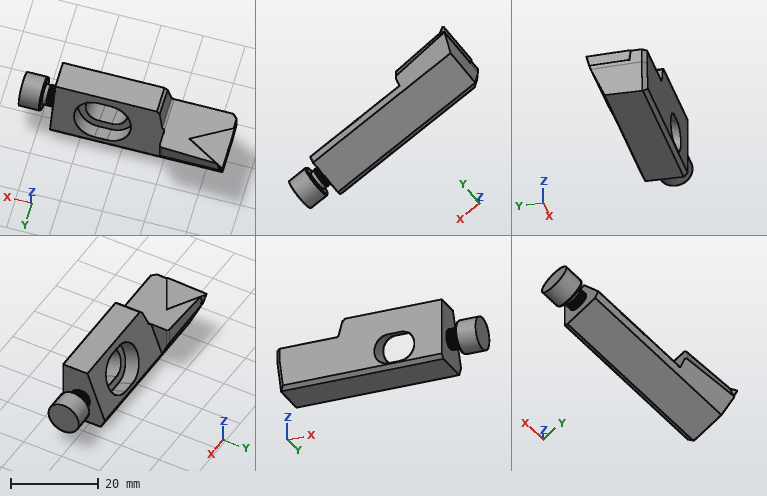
import cadquery as cq
import math


total_length = 50.0
block_end = 41.9
block_height = 14.9
foot_width = 9.95
waist_width = 11.0
waist_height = 2.3
back_tilt = 20.0
foot_chamfer = 0.95

head_end = 15.45
head_back_front = 13.3
head_back_rear = 12.6
head_corner_radius = 0.5

land_height = 10.55
land_tilt = 2.0
wall_lean = 15.0
wall_fillet = 0.6
wall_foot = 15.95
wall_top_chamfer_width = 0.6
wall_top_chamfer_height = 0.65

clearance_angle = 7.0
insert_thickness = 2.35
insert_side = 10.75
insert_center_y = 8.8
insert_corner_radius = 0.2

nose_x = insert_thickness * math.tan(math.radians(clearance_angle))
nose_land = 3.3
nose_chamfer = 1.05

slot_x = 30.0
slot_front_height = 4.95
slot_diameter = 7.0
slot_travel = 3.0
recess_diameter = 10.5
recess_depth = 3.8

screw_y = 4.75
screw_z = 6.65
head_diameter = 8.0
head_start = 44.9
head_edge_width = 0.3
head_edge_drop = 0.15
thread_diameter = 5.0
thread_depth = 0.2
thread_pitch = 0.5
thread_turns = 4
neck_diameter = 4.8

chamfer_overrun = 0.5
margin = 5.0

tan_back = math.tan(math.radians(back_tilt))
tan_clearance = math.tan(math.radians(clearance_angle))
crest_y = waist_width - (block_height - waist_height) * tan_back


def tilt_to_land(shape):
    """Move a shape from the land's own frame (land on z = 0) to its place on the holder."""
    return shape.rotate((0, 0, 0), (1, 0, 0), -land_tilt).translate((0, 0, land_height))


def make_block():
    profile = [
        (0, 0), (foot_width, 0), (waist_width, waist_height), (crest_y, block_height), (0, block_height)
    ]
    length = block_end - head_end
    return cq.Workplane("YZ").workplane(offset=head_end).polyline(profile).close().extrude(length)


def make_head():
    """Tapered plan outline, trimmed underneath by the same inclined face as the block."""
    plan = [(nose_x, 0), (head_end, 0), (head_end, head_back_rear), (nose_x, head_back_front)]
    blank = cq.Workplane("XY").polyline(plan).close().extrude(block_height)
    blank = blank.edges("|Z").edges(">X").edges(">Y").fillet(head_corner_radius)
    flare = (waist_width - foot_width) / waist_height
    section = [(0, 0), (foot_width, 0), (foot_width + flare * block_height, block_height), (0, block_height)]
    return blank.intersect(cq.Workplane("YZ").polyline(section).close().extrude(head_end))


def land_cutter():
    rise = block_height - land_height + margin
    wall_top = wall_foot + rise * math.tan(math.radians(wall_lean))
    profile = [(-margin, 0), (wall_foot, 0), (wall_top, rise), (-margin, rise)]
    cutter = cq.Workplane("XZ").polyline(profile).close().extrude(-4 * margin).translate((0, -margin / 2, 0))
    cutter = cutter.edges(cq.selectors.NearestToPointSelector((wall_foot, margin, 0))).fillet(wall_fillet)
    return tilt_to_land(cutter)


def wall_chamfer_cutter():
    wall_top = wall_foot + (block_height - land_height) * math.tan(math.radians(wall_lean))
    right = wall_top + wall_top_chamfer_width
    slope = wall_top_chamfer_width / wall_top_chamfer_height + math.tan(math.radians(wall_lean))
    drop = 2 * wall_top_chamfer_height
    left = right - slope * drop
    profile = [(right, block_height), (left, block_height - drop), (left, block_height)]
    return cq.Workplane("XZ").polyline(profile).close().extrude(-waist_width)


def nose_relief_cutter():
    depth = land_height + margin
    profile = [(nose_x, -nose_land), (nose_x + (depth - nose_land) * tan_clearance, -depth), (nose_x, -depth)]
    cutter = cq.Workplane("XZ").polyline(profile).close().extrude(-4 * margin).translate((0, -margin / 2, 0))
    return tilt_to_land(cutter)


def nose_chamfer_cutter():
    """Corner chamfer that stands upright below the land and then follows the relieved nose."""
    kink_height = land_height - nose_land
    foot_shift = kink_height * tan_clearance
    left = nose_x - chamfer_overrun
    leg = nose_chamfer + 2 * chamfer_overrun
    corner = [
        (left, -chamfer_overrun), (left + leg, -chamfer_overrun), (left, leg - chamfer_overrun)
    ]
    foot_corner = [(x + foot_shift, y) for x, y in corner]
    upper = cq.Workplane("XY").workplane(offset=kink_height).polyline(corner).close().extrude(nose_land)
    lower = (
        cq.Workplane("XY").polyline(foot_corner).close()
        .workplane(offset=kink_height).polyline(corner).close().loft(ruled=True)
    )
    return upper.union(lower)


def foot_chamfer_cutter():
    profile = [(0, 0), (foot_chamfer, 0), (0, foot_chamfer)]
    return cq.Workplane("YZ").polyline(profile).close().extrude(block_end)


def slot_cutter():
    """Through slot with a wider recess sunk from the inclined back face."""
    tilt = math.radians(back_tilt)
    axis = cq.Vector(0, math.cos(tilt), math.sin(tilt))
    front = cq.Vector(slot_x, 0, slot_front_height)
    back_distance = (cq.Vector(slot_x, crest_y, block_height) - front).dot(axis)
    plane = cq.Plane(origin=front.toTuple(), xDir=(1, 0, 0), normal=axis.toTuple())
    through = (
        cq.Workplane(plane).workplane(offset=-margin)
        .slot2D(slot_travel + slot_diameter, slot_diameter).extrude(back_distance + 2 * margin)
    )
    recess = (
        cq.Workplane(plane).workplane(offset=back_distance - recess_depth)
        .slot2D(slot_travel + recess_diameter, recess_diameter).extrude(recess_depth + margin)
    )
    return through.union(recess)


def make_screw():
    """Exposed part of the adjusting screw: ridged thread, plain neck and cylindrical head."""
    crest = thread_diameter / 2
    root = crest - thread_depth
    neck = neck_diameter / 2
    rim = head_diameter / 2
    thread_end = block_end + thread_turns * thread_pitch
    outline = cq.Workplane("XY").moveTo(block_end, 0).lineTo(block_end, root)
    for turn in range(thread_turns):
        start = block_end + turn * thread_pitch
        outline = outline.lineTo(start + thread_pitch / 2, crest).lineTo(start + thread_pitch, root)
    outline = (
        outline.lineTo(thread_end, neck).lineTo(head_start, neck)
        .lineTo(head_start, rim - head_edge_drop).lineTo(head_start + head_edge_width, rim)
        .lineTo(total_length, rim).lineTo(total_length, 0).close()
    )
    return outline.revolve(360, (0, 0, 0), (1, 0, 0)).translate((0, screw_y, screw_z))


def tapered_triangle():
    """Equilateral prism hanging below the land, its sides drawn in by the clearance angle."""
    inradius = insert_side / (2 * math.sqrt(3))

    def corners(shrink):
        reach = 2 * (inradius - shrink)
        return [
            (inradius + reach * math.cos(math.radians(angle)),
             insert_center_y + reach * math.sin(math.radians(angle)))
            for angle in (0, 120, 240)
        ]

    return (
        cq.Workplane("XY").workplane(offset=-insert_thickness).polyline(corners(nose_x)).close()
        .workplane(offset=insert_thickness).polyline(corners(0)).close().loft(ruled=True)
    )


def make_insert():
    blank = tapered_triangle()
    side_edges = blank.edges().filter(lambda edge: edge.BoundingBox().zlen > insert_thickness / 2)
    return tilt_to_land(side_edges.fillet(insert_corner_radius))


def make_holder():
    """Holder and screw as one body.

    The insert's pocket has sharp corners, leaving a small gap at the insert's rounded tip.
    """
    holder = make_block().union(make_head())
    cutters = (
        land_cutter(), wall_chamfer_cutter(), nose_relief_cutter(), nose_chamfer_cutter(),
        foot_chamfer_cutter(), slot_cutter(), tilt_to_land(tapered_triangle()),
    )
    for cutter in cutters:
        holder = holder.cut(cutter)
    return holder.union(make_screw()).solids()


holder = make_holder()
insert = make_insert()
result = cq.Compound.makeCompound([holder.val(), insert.val()])